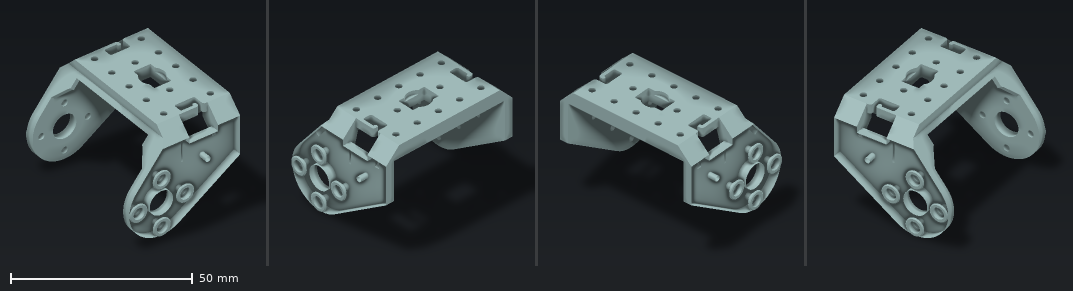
import cadquery as cq
import math

total_width = 48.8
boss_height = 0.55
boss_chamfer = 0.25
arm_thickness = 2.95
boss_face_x = total_width / 2
arm_outer_x = boss_face_x - boss_height
arm_inner_x = arm_outer_x - arm_thickness

top_z = 23.05
back_y = 27.05
back_bottom_z = 5.0
front_y = 2.0
front_bottom_z = 20.0
arm_end_radius = 11.0

plate_thickness = 4.45
plate_bottom_z = top_z - plate_thickness
bevel = 4.95
plate_half_width = arm_outer_x - bevel

hole_pitch = 8.0
plate_hole_radius = 1.05
plate_center_y = 14.6

opening_length = 9.75
opening_width = 5.9
opening_corner_radius = 0.25
recess_radius = 4.0
recess_depth = 1.5

gusset_inner_x = 16.55
gusset_top_z = 15.95
gusset_bend_x = 17.35
gusset_low_z = 11.85
gusset_bend_z = gusset_low_z + (arm_inner_x - gusset_bend_x)
gusset_depth = 1.5

window_front_y = 9.6
window_back_y = 19.45
window_bottom_z = 16.05
rib_thickness = 0.7
rib_low_z = 8.3
rib_top_x = 18.15

rear_web_top_z = 17.05

hook_thickness = 3.05
hook_bottom_z = top_z - hook_thickness
hook_bar = 1.1
hook_tip_x = 17.05
hook_tip_y = 16.65
hook_lip_height = 1.15
hook_outer_radius = 0.85
hook_lip_radius = 0.4
pocket_inner_x = 14.7
pocket_front_y = 11.15
pocket_back_y = 18.05
pocket_corner_radius = 0.6

undercut_inner_x = 13.2
undercut_lip_z = 18.95
undercut_stop_y = 16.3

pivot_bore_radius = 4.0
boss_radius = arm_end_radius - hole_pitch
screw_hole_radius = 1.05
screw_head_radius = 1.9
screw_head_depth = 1.5
small_hole_radius = 0.9
small_hole_y = 2 * hole_pitch
small_hole_z = hole_pitch
boss_places = [(hole_pitch, 0), (0, hole_pitch), (-hole_pitch, 0), (0, -hole_pitch)]


def tangent_angle(y, z, turn):
    """Angle at which the line from (y, z) touches the arm end; turn is 1 or -1."""
    return math.atan2(z, y) + turn * math.acos(arm_end_radius / math.hypot(y, z))


front_angle = tangent_angle(front_y, front_bottom_z, 1)
bottom_angle = tangent_angle(back_y, back_bottom_z, -1)


def arm_end_point(angle):
    return (arm_end_radius * math.cos(angle), arm_end_radius * math.sin(angle))


def box(x_limits, y_limits, z_limits):
    limits = (x_limits, y_limits, z_limits)
    sizes = [high - low for low, high in limits]
    corner = tuple(low for low, high in limits)
    return cq.Workplane("XY").box(*sizes, centered=False).translate(corner)


def y_prism(points, y_start, y_end):
    """Outline in X and Z, extruded along Y."""
    plane = cq.Workplane("XZ", origin=(0, y_start, 0))
    return plane.polyline(points).close().extrude(y_start - y_end)


def x_cylinder(radius, y, z, x_start, x_end):
    plane = cq.Workplane("YZ", origin=(x_start, 0, 0))
    return plane.center(y, z).circle(radius).extrude(x_end - x_start)


def both_sides(right_solid):
    """The given solid together with its mirror image across X = 0."""
    return right_solid.union(right_solid.mirror("YZ"))


def side_block():
    """The side outline, extruded over the full width between the arm faces."""
    arm_end_middle = arm_end_point((front_angle + bottom_angle + 2 * math.pi) / 2)
    return (
        cq.Workplane("YZ")
        .moveTo(back_y, top_z)
        .lineTo(front_y, top_z)
        .lineTo(front_y, front_bottom_z)
        .lineTo(*arm_end_point(front_angle))
        .threePointArc(arm_end_middle, arm_end_point(bottom_angle))
        .lineTo(back_y, back_bottom_z)
        .close()
        .extrude(arm_outer_x, both=True)
    )


def bevelled_block():
    """Solid envelope: the side outline with both long top edges bevelled."""
    section = [
        (-arm_outer_x, -arm_end_radius),
        (-arm_outer_x, top_z - bevel),
        (-plate_half_width, top_z),
        (plate_half_width, top_z),
        (arm_outer_x, top_z - bevel),
        (arm_outer_x, -arm_end_radius),
    ]
    return side_block().intersect(y_prism(section, -arm_end_radius, back_y))


def cavity():
    """Space between the arms and below the plate, less the webs in its corners."""
    x_limits = (-arm_inner_x, arm_inner_x)
    space = box(x_limits, (-arm_end_radius, back_y), (-arm_end_radius, plate_bottom_z))
    webs = gusset().union(window_rib()).union(rear_web())
    return space.cut(both_sides(webs))


def gusset():
    """Corner web of even depth behind the front slope, cut square to that slope."""
    slope_plane = cq.Plane(
        origin=(0, front_y, front_bottom_z),
        xDir=(1, 0, 0),
        normal=(0, math.cos(front_angle), math.sin(front_angle)),
    )

    def on_slope(x, z):
        """Point of the slope plane at the given X and Z."""
        return (x, (front_bottom_z - z) / math.cos(front_angle))

    return (
        cq.Workplane(slope_plane)
        .moveTo(*on_slope(arm_inner_x, top_z))
        .lineTo(*on_slope(arm_inner_x, gusset_low_z))
        .lineTo(*on_slope(gusset_bend_x, gusset_bend_z))
        .tangentArcPoint(on_slope(gusset_inner_x, gusset_top_z), relative=False)
        .lineTo(*on_slope(gusset_inner_x, top_z))
        .close()
        .extrude(gusset_depth, both=True)
    )


def window_rib():
    """Thin web in front of the window, tapering down the inside of the arm."""
    outline = [
        (arm_inner_x, rib_low_z),
        (arm_inner_x, plate_bottom_z),
        (rib_top_x, plate_bottom_z),
    ]
    return y_prism(outline, window_front_y - rib_thickness, window_front_y)


def rear_web():
    """Corner web behind the window, as deep as the gusset and ending in a 45 degree slope."""
    outline = [
        (gusset_inner_x, plate_bottom_z),
        (gusset_inner_x, rear_web_top_z),
        (arm_inner_x, rear_web_top_z - (arm_inner_x - gusset_inner_x)),
        (arm_inner_x, plate_bottom_z),
    ]
    return y_prism(outline, window_back_y, window_back_y + gusset_depth)


def window():
    """Opening through the bevel, reaching under the hook to the gusset line."""
    through_bevel = box(
        (plate_half_width, arm_outer_x),
        (window_front_y, window_back_y),
        (window_bottom_z, top_z),
    )
    under_hook = box(
        (gusset_inner_x, plate_half_width),
        (pocket_front_y, window_back_y),
        (plate_bottom_z, hook_bottom_z),
    )
    return through_bevel.union(under_hook)


def undercuts():
    """Sloped cuts in the underside: under the root of the hook and inside the pocket.

    A stop is left standing along most of the pocket wall.
    """
    root_outline = [
        (plate_half_width, hook_bottom_z),
        (gusset_inner_x, plate_bottom_z),
        (plate_half_width, plate_bottom_z),
    ]
    pocket_outline = [
        (pocket_inner_x, hook_bottom_z),
        (undercut_inner_x, undercut_lip_z),
        (undercut_inner_x, plate_bottom_z),
        (pocket_inner_x + pocket_corner_radius, plate_bottom_z),
        (pocket_inner_x + pocket_corner_radius, hook_bottom_z),
    ]
    root_cut = y_prism(root_outline, window_front_y, pocket_front_y)
    pocket_cut = y_prism(pocket_outline, pocket_front_y, pocket_back_y)
    stop = box(
        (undercut_inner_x, pocket_inner_x),
        (pocket_front_y, undercut_stop_y),
        (undercut_lip_z, hook_bottom_z),
    )
    return root_cut.union(pocket_cut.cut(stop))


def hook_pocket():
    """J-shaped cut through the plate that leaves the hook standing at its edge."""
    hook_inner_x = plate_half_width - hook_bar
    z_limits = (plate_bottom_z, top_z)
    pocket = box((pocket_inner_x, hook_inner_x), (pocket_front_y, pocket_back_y), z_limits)
    pocket = pocket.edges("|Z").edges("<X or <Y").fillet(pocket_corner_radius)
    mouth = box((hook_inner_x, plate_half_width), (hook_tip_y, pocket_back_y), z_limits)
    lip = box((hook_tip_x, hook_inner_x), (hook_tip_y - hook_lip_height, hook_tip_y), z_limits)
    lip = lip.edges("|Z and <X").fillet(hook_lip_radius)
    corners = corner_cut(hook_tip_y, -1).union(corner_cut(pocket_back_y, 1))
    return pocket.union(mouth).cut(lip).union(corners)


def corner_cut(y, side):
    """Rounds the plate corner at (plate_half_width, y); the plate lies on the given Y side."""
    radius = hook_outer_radius
    center_x = plate_half_width - radius
    center_y = y + side * radius
    y_limits = sorted((y, center_y))
    corner = box((center_x, plate_half_width), y_limits, (plate_bottom_z, top_z))
    disc = cq.Workplane("XY", origin=(center_x, center_y, plate_bottom_z))
    return corner.cut(disc.circle(radius).extrude(plate_thickness))


def plate_cuts():
    """Hole grid, rectangular opening and its round recess."""
    outer_rows = [(i * hole_pitch, j * hole_pitch) for i in range(-2, 3) for j in (-1, 1)]
    middle_row = [(-hole_pitch, 0), (hole_pitch, 0)]
    top = cq.Workplane("XY", origin=(0, plate_center_y, top_z))
    holes = top.pushPoints(outer_rows + middle_row).circle(plate_hole_radius).extrude(-plate_thickness)
    opening = top.rect(opening_length, opening_width).extrude(-plate_thickness)
    opening = opening.edges("|Z").fillet(opening_corner_radius)
    recess = top.circle(recess_radius).extrude(-recess_depth)
    return holes.union(opening).union(recess)


def boss(y, z):
    """Screw boss standing out of one arm, with a chamfered rim."""
    cylinder = x_cylinder(boss_radius, y, z, arm_inner_x, boss_face_x)
    return cylinder.faces(">X").chamfer(boss_chamfer)


def arm_cuts():
    """Pivot bore, counterbored screw holes and the small hole of one arm."""
    cuts = x_cylinder(pivot_bore_radius, 0, 0, arm_inner_x, boss_face_x)
    small_hole = x_cylinder(small_hole_radius, small_hole_y, small_hole_z, arm_inner_x, boss_face_x)
    cuts = cuts.union(small_hole)
    for y, z in boss_places:
        screw_hole = x_cylinder(screw_hole_radius, y, z, arm_inner_x, boss_face_x)
        head_x = boss_face_x - screw_head_depth
        counterbore = x_cylinder(screw_head_radius, y, z, head_x, boss_face_x)
        cuts = cuts.union(screw_hole).union(counterbore)
    return cuts


bosses = cq.Workplane("XY")
for boss_y, boss_z in boss_places:
    bosses = bosses.union(boss(boss_y, boss_z))
side_cuts = window().union(hook_pocket()).union(undercuts()).union(arm_cuts())

result = bevelled_block().cut(cavity()).union(both_sides(bosses))
result = result.cut(both_sides(side_cuts)).cut(plate_cuts())